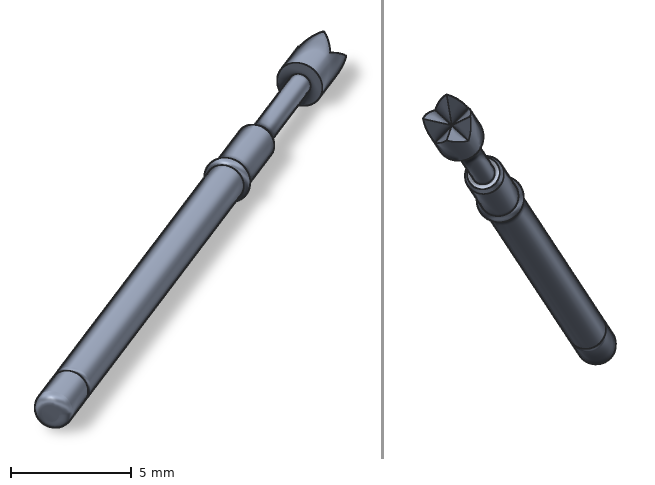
import cadquery as cq
import math

total_length = 34.3
tip_y = total_length / 2
tail_y = -total_length / 2

head_radius = 1.0
head_length = 3.02
tooth_depth = 1.15
groove_angles = (45, 135)

plunger_radius = 0.48

barrel_radius = 0.82
barrel_length = 26.0
mouth_chamfer_length = 0.25
mouth_chamfer_depth = 0.15
tail_round = 0.45

ring_radius = 1.0
ring_length = 0.55
ring_setback = 3.55

crimp_distance = 2.55
crimp_depth = 0.15
crimp_half_width = 0.2

head_base_y = tip_y - head_length
mouth_y = tail_y + barrel_length


def rod(radius, start_y, end_y):
    """Solid cylinder on the Y axis between two stations."""
    return cq.Workplane("XZ", origin=(0, end_y, 0)).circle(radius).extrude(end_y - start_y)


def make_barrel():
    """Revolved barrel with a rounded tail, crimp groove and chamfered mouth."""
    crimp_y = tail_y + crimp_distance
    arc_middle = tail_round * (1 - math.sqrt(0.5))
    lip_radius = (crimp_half_width**2 + crimp_depth**2) / (2 * crimp_depth)
    half_sweep = math.asin(crimp_half_width / lip_radius) / 2
    crimp_arc_middle = (
        barrel_radius - lip_radius * (1 - math.cos(half_sweep)),
        crimp_y + crimp_half_width - lip_radius * math.sin(half_sweep),
    )
    profile = (
        cq.Workplane("XY")
        .moveTo(0, tail_y)
        .lineTo(barrel_radius - tail_round, tail_y)
        .threePointArc(
            (barrel_radius - arc_middle, tail_y + arc_middle),
            (barrel_radius, tail_y + tail_round),
        )
        .lineTo(barrel_radius, crimp_y - crimp_half_width)
        .tangentArcPoint((barrel_radius - crimp_depth, crimp_y), relative=False)
        .threePointArc(
            crimp_arc_middle,
            (barrel_radius, crimp_y + crimp_half_width),
        )
        .lineTo(barrel_radius, mouth_y - mouth_chamfer_length)
        .lineTo(barrel_radius - mouth_chamfer_depth, mouth_y)
        .lineTo(0, mouth_y)
        .close()
    )
    return profile.revolve(360, (0, 0, 0), (0, 1, 0))


def make_ring():
    """Press ring bulging from the barrel with a rounded section."""
    ring_front_y = mouth_y - ring_setback
    ring_back_y = ring_front_y - ring_length
    section = (
        cq.Workplane("XY")
        .moveTo(0, ring_back_y)
        .lineTo(barrel_radius, ring_back_y)
        .threePointArc(
            (ring_radius, ring_back_y + ring_length / 2),
            (barrel_radius, ring_front_y),
        )
        .lineTo(0, ring_front_y)
        .close()
    )
    return section.revolve(360, (0, 0, 0), (0, 1, 0))


def make_head():
    """Crown head whose four teeth are left by two crossing V grooves."""
    head = rod(head_radius, head_base_y, tip_y)
    groove_half_width = head_radius * math.sqrt(0.5)
    groove = (
        cq.Workplane("XY")
        .polyline([
            (-groove_half_width, tip_y),
            (0, tip_y - tooth_depth),
            (groove_half_width, tip_y),
        ])
        .close()
        .extrude(2 * head_radius, both=True)
    )
    for angle in groove_angles:
        head = head.cut(groove.rotate((0, 0, 0), (0, 1, 0), angle))
    return head


plunger = rod(plunger_radius, mouth_y, head_base_y)
result = make_barrel().union(make_ring()).union(plunger).union(make_head())